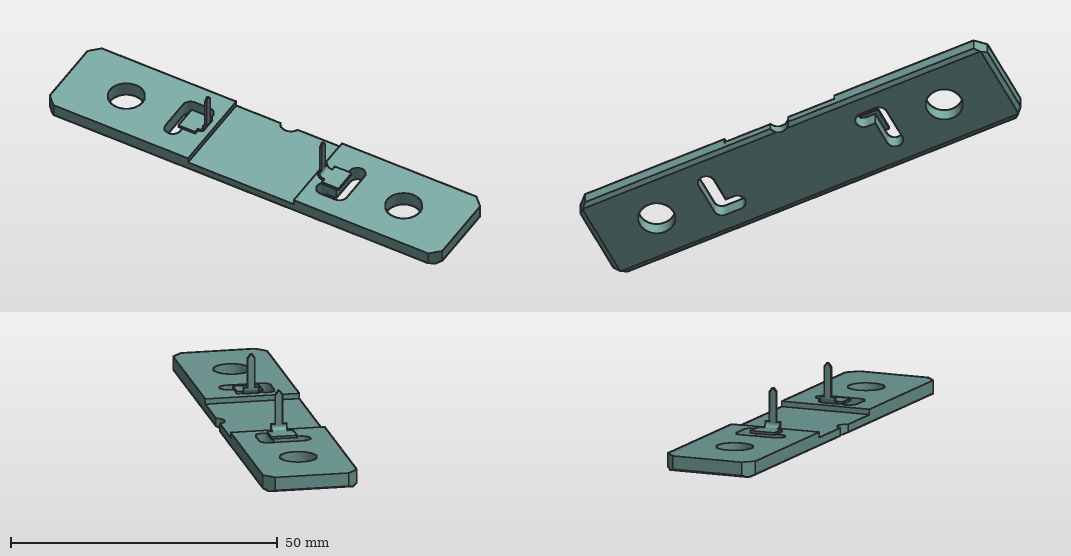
import cadquery as cq

TOTAL_HEIGHT = 10.9
PLATE_LENGTH = 85.0
PLATE_WIDTH = 18.0
PLATE_THICKNESS = 3.0
CORNER_CHAMFER = 1.95

BEVEL_HEIGHT = 0.4
BEVEL_INSET = 0.9

RECESS_LENGTH = 22.9
RECESS_DEPTH = 1.0

NOTCH_RADIUS = 1.95
NOTCH_DEPTH = 1.3

HOLE_DIAMETER = 7.0
HOLE_OFFSET = 30.0

SLOT_WIDTH = 3.15
SLOT_OUTER_X = -19.6
SLOT_ARM_END_X = -13.3
SLOT_BOTTOM_Y = -4.85
SLOT_TOP_Y = 4.9

SHEET = 0.4
PAD_START_X = -17.3
PAD_END_X = -13.7
PAD_WIDTH = 4.9
NECK_WIDTH = 3.0
NECK_HEIGHT = 1.45
BEND_INNER_RADIUS = 0.8
PIN_FACE_X = -12.2
PIN_WIDTH = 1.4
TERMINAL_HEIGHT = TOTAL_HEIGHT - PLATE_THICKNESS
TIP_HEIGHT = 0.8
TIP_WIDTH = 0.25
TIP_THICKNESS = 0.25


def make_slot():
    """L-shaped cutter with round arm ends and a round outer corner."""
    radius = SLOT_WIDTH / 2
    spine_x = SLOT_OUTER_X + radius
    spine_y = SLOT_TOP_Y - radius
    upright_length = SLOT_TOP_Y - SLOT_BOTTOM_Y
    arm_length = SLOT_ARM_END_X - SLOT_OUTER_X
    upright = (
        cq.Workplane("XY")
        .center(spine_x, (SLOT_TOP_Y + SLOT_BOTTOM_Y) / 2)
        .slot2D(upright_length, SLOT_WIDTH, 90)
        .extrude(PLATE_THICKNESS)
    )
    arm = (
        cq.Workplane("XY")
        .center((SLOT_OUTER_X + SLOT_ARM_END_X) / 2, spine_y)
        .slot2D(arm_length, SLOT_WIDTH)
        .extrude(PLATE_THICKNESS)
    )
    return upright.union(arm)


def make_plate():
    """Bar with cut corners, beveled only under its straight sides and ends."""
    blank = (
        cq.Workplane("XY")
        .box(PLATE_LENGTH, PLATE_WIDTH, PLATE_THICKNESS, centered=(True, True, False))
        .edges("|Z")
        .chamfer(CORNER_CHAMFER)
    )
    beveled_bar = (
        cq.Workplane("XY")
        .rect(PLATE_LENGTH - 2 * BEVEL_INSET, PLATE_WIDTH - 2 * BEVEL_INSET)
        .workplane(offset=BEVEL_HEIGHT)
        .rect(PLATE_LENGTH, PLATE_WIDTH)
        .loft(ruled=True)
        .faces(">Z")
        .wires()
        .toPending()
        .extrude(PLATE_THICKNESS - BEVEL_HEIGHT)
    )
    plate = blank.intersect(beveled_bar)

    recess = (
        cq.Workplane("XY")
        .workplane(offset=PLATE_THICKNESS - RECESS_DEPTH)
        .rect(RECESS_LENGTH, PLATE_WIDTH)
        .extrude(RECESS_DEPTH)
    )
    notch_center_y = PLATE_WIDTH / 2 - NOTCH_DEPTH + NOTCH_RADIUS
    notch = cq.Workplane("XY").center(0, notch_center_y).circle(NOTCH_RADIUS).extrude(PLATE_THICKNESS)
    holes = (
        cq.Workplane("XY")
        .pushPoints([(-HOLE_OFFSET, 0), (HOLE_OFFSET, 0)])
        .circle(HOLE_DIAMETER / 2)
        .extrude(PLATE_THICKNESS)
    )
    plate = plate.cut(recess).cut(notch).cut(holes)

    slot = make_slot()
    for angle in (0, 180):
        plate = plate.cut(slot.rotate((0, 0, 0), (0, 0, 1), angle))
    return plate


def make_terminal(angle):
    """Terminal resting on the plate: flat pad, bent neck and pointed upright pin."""
    pad = (
        cq.Workplane("XY")
        .workplane(offset=PLATE_THICKNESS)
        .center((PAD_START_X + PAD_END_X) / 2, 0)
        .rect(PAD_END_X - PAD_START_X, PAD_WIDTH)
        .extrude(SHEET)
    )

    inner_x = PIN_FACE_X - SHEET
    strip_top = PLATE_THICKNESS + SHEET
    neck_top = PLATE_THICKNESS + NECK_HEIGHT
    bend_outer_radius = BEND_INNER_RADIUS + SHEET
    neck = (
        cq.Workplane("XZ")
        .moveTo(PAD_END_X, PLATE_THICKNESS)
        .lineTo(PIN_FACE_X - bend_outer_radius, PLATE_THICKNESS)
        .radiusArc((PIN_FACE_X, PLATE_THICKNESS + bend_outer_radius), -bend_outer_radius)
        .lineTo(PIN_FACE_X, neck_top)
        .lineTo(inner_x, neck_top)
        .lineTo(inner_x, strip_top + BEND_INNER_RADIUS)
        .radiusArc((inner_x - BEND_INNER_RADIUS, strip_top), BEND_INNER_RADIUS)
        .lineTo(PAD_END_X, strip_top)
        .close()
        .extrude(NECK_WIDTH / 2, both=True)
    )

    pin_center_x = PIN_FACE_X - SHEET / 2
    shank_height = TERMINAL_HEIGHT - NECK_HEIGHT - TIP_HEIGHT
    shank = (
        cq.Workplane("XY")
        .workplane(offset=neck_top)
        .center(pin_center_x, 0)
        .rect(SHEET, PIN_WIDTH)
        .extrude(shank_height)
    )
    tip = (
        shank.faces(">Z")
        .workplane()
        .rect(SHEET, PIN_WIDTH)
        .workplane(offset=TIP_HEIGHT)
        .rect(TIP_THICKNESS, TIP_WIDTH)
        .loft(combine=False)
    )

    terminal = pad.union(neck).union(shank).union(tip)
    return terminal.rotate((0, 0, 0), (0, 0, 1), angle)


plate = make_plate()
terminals = [make_terminal(angle) for angle in (0, 180)]

result = cq.Compound.makeCompound([plate.val(), *[terminal.val() for terminal in terminals]])